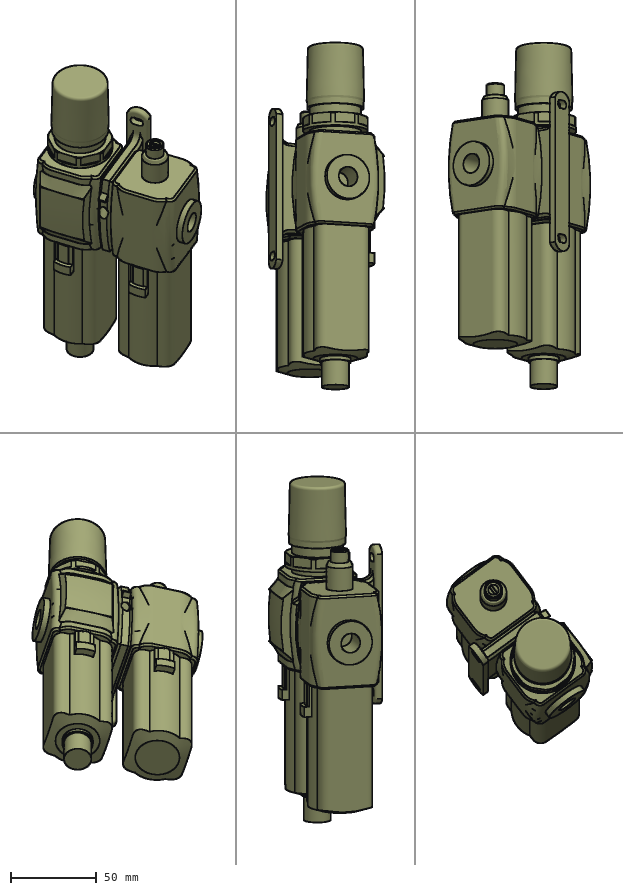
import cadquery as cq
import math


total_height = 201.5
knob_top = 81.0
drain_bottom = knob_top - total_height
total_width = 95.8
port_reach = total_width / 2
spacer_thickness = 8.0
head_width = 40.1
unit_offset = (spacer_thickness + head_width) / 2

head_depth = 42.0
head_height = 55.5
head_top = head_height / 2
front_flat_width = 16.5
corner_radius = 3.8
barrel_end_depth = 35.5
head_chamfer = 1.2
curve_end_x = head_width / 2 - corner_radius
curve_end_y = barrel_end_depth / 2
port_diameter = 26.0
port_hole_diameter = 11.5
port_hole_depth = 18.1

cover_front = 26.6
cover_back = 14.1
cover_shoulder = 25.5
cover_base_height = 44.4
cover_face_height = 30.8
cover_face_width = 27.8
cover_face_stripe = 13.3
cover_ledge = 0.2
cover_back_width = 37.0
cover_dome_radius = 110.9

bowl_width = 35.5
bowl_depth = 37.5
bowl_shoulder_depth = 32.3
bowl_corner = 5.5
bowl_arc_width = 18.1
bowl_floor = -103.6
bowl_floor_diameter = 25.8
bowl_floor_slope = 19.0
arc_rise = (bowl_depth - bowl_shoulder_depth) / 2
arc_radius = ((bowl_arc_width / 2) ** 2 + arc_rise ** 2) / (2 * arc_rise)
arc_centre_y = arc_radius - bowl_depth / 2

latch_left = -6.7
latch_right = 4.5
latch_rib_left = -4.8
latch_rib_right = 2.0
latch_strip_rise = 1.5
latch_rib_rise = 1.8
latch_button_rise = 4.2
latch_bottom = -47.0
latch_button_top = -41.0

drain_diameter = 16.0
drain_collar_diameter = 18.0
drain_collar_bottom = -105.8

neck_diameter = 30.0
neck_top = 44.8
nut_bottom = 31.2
nut_flange_top = 33.3
nut_top = 39.1
nut_across_flats = 35.9
nut_diameter = 38.0
nut_sides = 8
nut_chamfer = 0.5
knob_skirt_diameter = 33.0
knob_base_diameter = 33.7
knob_top_diameter = 32.3
knob_skirt_top = 48.2
knob_grip_bottom = 49.4
knob_fillet = 1.8

plug_diameter = 15.5
plug_shoulder = 43.7
plug_chamfer_width = 1.2
plug_chamfer_height = 2.5
plug_edge_fillet = 0.6
plug_tip_diameter = 10.5
plug_tip_top = 51.0
plug_tip_chamfer = 0.8
screw_diameter = 6.0
screw_recess = 0.6
screw_slot_length = 5.6
screw_slot_width = 1.6
screw_slot_depth = 1.2

spacer_half_height = 26.6
spacer_front_top = 15.5
spacer_front_middle = 19.4
spacer_chamfer = 1.8
plate_back = 30.6
plate_thickness = 4.5
plate_width = 14.1
plate_height = 94.8
plate_end_rise = 4.2
plate_drop = 0.5
plate_fillet = 1.6
plate_front = plate_back - plate_thickness
flare = 5.5
mount_slot_length = 8.0
mount_slot_width = 4.8
mount_slot_z = 40.0
lip_width = 4.6
lip_reach = 21.5
lip_top = 15.7
lip_tip_thickness = 0.8
lip_root_top = 18.5
lip_root_bottom = 13.0
lip_root_y = 17.0
bolt_hole_diameter = 5.6
bolt_hole_z = 4.5
bolt_hole_angle = 45.0
bolt_hole_depth = 5.2


def cylinder(diameter, bottom, top):
    return cq.Workplane("XY").workplane(offset=bottom).circle(diameter / 2).extrude(top - bottom)


def block(x_range, y_range, z_range):
    size = [high - low for low, high in (x_range, y_range, z_range)]
    return cq.Workplane("XY").box(*size, centered=False).translate((x_range[0], y_range[0], z_range[0]))


def head_barrel():
    """Full-width block whose front and back bulge at mid-height, with rounded side edges."""
    barrel = (
        cq.Workplane("YZ").workplane(offset=-head_width / 2)
        .moveTo(-curve_end_y, -head_top).lineTo(curve_end_y, -head_top)
        .threePointArc((head_depth / 2, 0), (curve_end_y, head_top))
        .lineTo(-curve_end_y, head_top)
        .threePointArc((-head_depth / 2, 0), (-curve_end_y, -head_top))
        .close().extrude(head_width)
    )
    side_edges = barrel.faces("<X or >X").edges("%CIRCLE")
    barrel = barrel.newObject(side_edges.vals()).fillet(corner_radius)
    return barrel.faces("<Z or >Z").chamfer(head_chamfer)


def head_curve_middle():
    """Middle point of the arc that leaves the flat stripe without a kink."""
    run = curve_end_x - front_flat_width / 2
    drop = head_depth / 2 - curve_end_y
    radius = (run ** 2 + drop ** 2) / (2 * drop)
    half_turn = math.asin(run / radius) / 2
    middle_x = front_flat_width / 2 + radius * math.sin(half_turn)
    middle_y = head_depth / 2 - radius * (1 - math.cos(half_turn))
    return middle_x, middle_y


def head_core():
    """Upright prism with a flat stripe front and back that curves away on both sides."""
    flat_x = front_flat_width / 2
    flat_y = head_depth / 2
    middle_x, middle_y = head_curve_middle()
    core = (
        cq.Workplane("XY").workplane(offset=-head_top)
        .moveTo(-flat_x, -flat_y).lineTo(flat_x, -flat_y)
        .threePointArc((middle_x, -middle_y), (curve_end_x, -curve_end_y))
        .lineTo(curve_end_x, curve_end_y)
        .threePointArc((middle_x, middle_y), (flat_x, flat_y))
        .lineTo(-flat_x, flat_y)
        .threePointArc((-middle_x, middle_y), (-curve_end_x, curve_end_y))
        .lineTo(-curve_end_x, -curve_end_y)
        .threePointArc((-middle_x, -middle_y), (-flat_x, -flat_y))
        .close().extrude(head_height)
    )
    return core.faces("<Z or >Z").chamfer(head_chamfer)


def add_port(unit, side):
    """Round port boss with a blind hole on the left (side -1) or right (side 1) of a unit."""
    face_x = side * (port_reach - unit_offset)
    face = cq.Workplane("YZ").workplane(offset=face_x)
    boss = face.circle(port_diameter / 2).extrude(-face_x)
    hole = face.circle(port_hole_diameter / 2).extrude(-side * port_hole_depth)
    return unit.union(boss).cut(hole)


def front_cover():
    """Domed cover with sloped edges on the front of the regulator head."""
    side_slope = (cover_back_width - cover_face_width) / 2 / (cover_shoulder - cover_back)
    back_x = cover_back_width / 2
    face_x = cover_face_width / 2
    stripe_x = cover_face_stripe / 2
    front_x = face_x - side_slope * (cover_front - cover_shoulder)
    flat_x = front_flat_width / 2
    flat_y = head_depth / 2 + cover_ledge
    middle_x, middle_y = head_curve_middle()
    middle_y += cover_ledge
    side_y = curve_end_y + cover_ledge
    side_x = back_x - side_slope * (side_y - cover_back)
    slope_height = (cover_base_height - cover_face_height) / 2
    upper_slope = (
        cq.Workplane("XY").workplane(offset=cover_face_height / 2)
        .polyline([
            (-back_x, -cover_back),
            (-face_x, -cover_shoulder),
            (-stripe_x, -cover_shoulder),
            (stripe_x, -cover_shoulder),
            (face_x, -cover_shoulder),
            (back_x, -cover_back),
        ]).close()
        .workplane(offset=slope_height)
        .moveTo(-back_x, -cover_back).lineTo(-side_x, -side_y)
        .threePointArc((-middle_x, -middle_y), (-flat_x, -flat_y))
        .lineTo(flat_x, -flat_y)
        .threePointArc((middle_x, -middle_y), (side_x, -side_y))
        .lineTo(back_x, -cover_back)
        .close()
        .loft(ruled=True)
    )
    middle = (
        cq.Workplane("XY").workplane(offset=-cover_face_height / 2)
        .polyline([
            (-back_x, -cover_back),
            (-front_x, -cover_front),
            (front_x, -cover_front),
            (back_x, -cover_back),
        ]).close().extrude(cover_face_height)
    )
    dome = cq.Workplane("XY").sphere(cover_dome_radius).translate((0, cover_dome_radius - cover_front, 0))
    return middle.intersect(dome).union(upper_slope).union(upper_slope.mirror("XY"))


def bowl():
    """Bowl with flat sides, rounded corners, curved front and back and a conical floor edge."""
    side_x = bowl_width / 2
    shoulder_y = bowl_shoulder_depth / 2
    arc_x = bowl_arc_width / 2
    shell = (
        cq.Workplane("XY").workplane(offset=bowl_floor)
        .rect(bowl_width, bowl_shoulder_depth).extrude(-bowl_floor)
        .edges("|Z").fillet(bowl_corner)
    )
    bulge = (
        cq.Workplane("XY").workplane(offset=bowl_floor)
        .moveTo(-arc_x, -shoulder_y)
        .threePointArc((0, -bowl_depth / 2), (arc_x, -shoulder_y))
        .lineTo(arc_x, shoulder_y)
        .threePointArc((0, bowl_depth / 2), (-arc_x, shoulder_y))
        .close().extrude(-bowl_floor)
    )
    floor_radius = bowl_floor_diameter / 2
    outer_radius = side_x + bowl_depth / 2
    cone_rise = (outer_radius - floor_radius) * math.tan(math.radians(bowl_floor_slope))
    floor_cone = (
        cq.Workplane("XZ")
        .polyline([
            (0, bowl_floor),
            (floor_radius, bowl_floor),
            (outer_radius, bowl_floor + cone_rise),
            (outer_radius, 0),
            (0, 0),
        ]).close().revolve(360, (0, 0, 0), (0, 1, 0))
    )
    return shell.union(bulge).intersect(floor_cone)


def latch_layer(rise, left, right, bottom, top):
    """Piece of a curved shell that follows the bowl front, standing out by the given rise."""
    disc = cylinder(2 * (arc_radius + rise), bottom, top).translate((0, arc_centre_y, 0))
    window = block((left, right), (-bowl_depth, -bowl_shoulder_depth / 2), (bottom, top))
    return disc.intersect(window)


def latch():
    strip = latch_layer(latch_strip_rise, latch_left, latch_right, latch_bottom, -head_top)
    rib = latch_layer(latch_rib_rise, latch_rib_left, latch_rib_right, latch_bottom, -head_top)
    button = latch_layer(latch_button_rise, latch_left, latch_right, latch_bottom, latch_button_top)
    return strip.union(rib).union(button)


def housing(port_side):
    """Head, bowl, latch and port that both units share."""
    unit = head_barrel().union(head_core()).union(bowl()).union(latch())
    return add_port(unit, port_side)


def make_filter_regulator():
    unit = housing(-1).union(front_cover())
    unit = unit.union(cylinder(neck_diameter, head_top, neck_top))
    unit = unit.union(cylinder(drain_collar_diameter, drain_collar_bottom, bowl_floor))
    unit = unit.union(cylinder(drain_diameter, drain_bottom, drain_collar_bottom))
    return unit.translate((-unit_offset, 0, 0))


def make_lubricator():
    plug = cylinder(plug_diameter, head_top, plug_shoulder)
    plug = plug.faces(">Z").chamfer(plug_chamfer_height, plug_chamfer_width)
    plug = plug.faces(">Z").edges().fillet(plug_edge_fillet)
    tip = cylinder(plug_tip_diameter, head_top, plug_tip_top).faces(">Z").chamfer(plug_tip_chamfer)
    recess_floor = plug_tip_top - screw_recess
    recess = cylinder(screw_diameter, recess_floor, plug_tip_top)
    slot = (
        cq.Workplane("XY").workplane(offset=recess_floor)
        .rect(screw_slot_length, screw_slot_width).extrude(-screw_slot_depth)
    )
    unit = housing(1).union(plug).union(tip).cut(recess).cut(slot)
    return unit.translate((unit_offset, 0, 0))


def make_nut():
    """Eight-sided nut whose rounded corners run down into a round flange."""
    flange = cylinder(nut_diameter, nut_bottom, nut_flange_top)
    corner_diameter = nut_across_flats / math.cos(math.pi / nut_sides)
    octagon = (
        cq.Workplane("XY").workplane(offset=nut_flange_top)
        .transformed(rotate=(0, 0, 180 / nut_sides))
        .polygon(nut_sides, corner_diameter).extrude(nut_top - nut_flange_top)
    )
    envelope = cylinder(nut_diameter, nut_flange_top, nut_top).faces(">Z").chamfer(nut_chamfer)
    bore = cylinder(neck_diameter, nut_bottom, nut_top)
    return octagon.intersect(envelope).union(flange).cut(bore).translate((-unit_offset, 0, 0))


def make_knob():
    """Tapered knob with a short straight skirt, standing on the neck."""
    knob = (
        cq.Workplane("XZ")
        .polyline([
            (0, neck_top),
            (knob_skirt_diameter / 2, neck_top),
            (knob_skirt_diameter / 2, knob_skirt_top),
            (knob_base_diameter / 2, knob_grip_bottom),
            (knob_top_diameter / 2, knob_top),
            (0, knob_top),
        ]).close().revolve(360, (0, 0, 0), (0, 1, 0))
    )
    return knob.faces(">Z").edges().fillet(knob_fillet).translate((-unit_offset, 0, 0))


def mounting_plate():
    """Upright plate with arched ends, softened front edges and two slots."""
    half_width = plate_width / 2
    arch_z = plate_height / 2
    corner_z = arch_z - plate_end_rise
    plate = (
        cq.Workplane("XZ").workplane(offset=-plate_back)
        .moveTo(-half_width, -corner_z)
        .threePointArc((0, -arch_z), (half_width, -corner_z))
        .lineTo(half_width, corner_z)
        .threePointArc((0, arch_z), (-half_width, corner_z))
        .close().extrude(plate_thickness)
        .faces("<Y").edges().fillet(plate_fillet)
    )
    slots = (
        cq.Workplane("XZ").workplane(offset=-plate_back)
        .pushPoints([(0, mount_slot_z), (0, -mount_slot_z)])
        .slot2D(mount_slot_length, mount_slot_width).extrude(plate_thickness)
    )
    return plate.cut(slots).translate((0, 0, -plate_drop))


def spacer():
    """Block between the heads that flares at the back, with chamfered edges."""
    root_y = (plate_front + plate_back) / 2
    flare_start = plate_front - flare
    flare_z = spacer_half_height + flare
    bend_y = flare_start + flare * math.sin(math.pi / 4)
    bend_z = spacer_half_height + flare * (1 - math.cos(math.pi / 4))
    block_body = (
        cq.Workplane("YZ").workplane(offset=-spacer_thickness / 2)
        .moveTo(root_y, flare_z).lineTo(plate_front, flare_z)
        .threePointArc((bend_y, bend_z), (flare_start, spacer_half_height))
        .lineTo(-spacer_front_top, spacer_half_height)
        .threePointArc((-spacer_front_middle, 0), (-spacer_front_top, -spacer_half_height))
        .lineTo(flare_start, -spacer_half_height)
        .threePointArc((bend_y, -bend_z), (plate_front, -flare_z))
        .lineTo(root_y, -flare_z)
        .close().extrude(spacer_thickness)
    )
    in_front_of_plate = cq.selectors.BoxSelector(
        (-spacer_thickness, -plate_back, -plate_height),
        (spacer_thickness, plate_front, plate_height),
    )
    side_edges = block_body.faces("<X or >X").edges().edges(in_front_of_plate)
    return side_edges.chamfer(spacer_chamfer)


def clamp_lip():
    """Small overhanging lip on the front of the spacer."""
    return (
        cq.Workplane("YZ").workplane(offset=-lip_width / 2)
        .polyline([
            (-lip_root_y, lip_root_top),
            (-lip_reach, lip_top),
            (-lip_reach, lip_top - lip_tip_thickness),
            (-lip_root_y, lip_root_bottom),
        ]).close().extrude(lip_width)
    )


def bolt_hole():
    """Blind hole that rises into the spacer from its front."""
    mouth_y = -spacer_front_middle
    hole = cq.Workplane("XY").circle(bolt_hole_diameter / 2).extrude(2 * bolt_hole_depth)
    hole = hole.translate((0, 0, -bolt_hole_depth))
    return hole.rotate((0, 0, 0), (1, 0, 0), bolt_hole_angle - 90).translate((0, mouth_y, bolt_hole_z))


def make_bracket():
    return mounting_plate().union(spacer()).union(clamp_lip()).cut(bolt_hole())


filter_regulator = make_filter_regulator()
lubricator = make_lubricator()
nut = make_nut()
knob = make_knob()
bracket = make_bracket()

result = cq.Compound.makeCompound([
    filter_regulator.val(),
    lubricator.val(),
    nut.val(),
    knob.val(),
    bracket.val(),
])